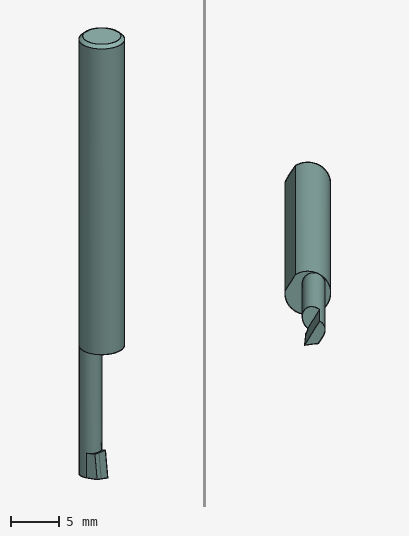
import cadquery as cq

total_length = 50.8
shank_diameter = 4.75
shank_radius = shank_diameter / 2
shank_bottom = 15.25
flat_y = 2.15
chamfer_width = 0.4
chamfer_height = 0.35

neck_radius = shank_radius / 2
neck_x = -neck_radius

relief_low_z = 3.8
relief_high_z = 4.65

head_height = 3.15
head_lean = 0.25
head_depth = neck_radius
head_left_x = -1.3
facet_start_x = -0.4
facet_middle_x = -0.1
facet_middle_y = -0.7
cutting_edge_x = 0.4

end_rise_y = 0.2
end_rise_x = 0.15

margin = 2.55


def make_shank():
    length = total_length - shank_bottom
    shank = cq.Workplane("XY").workplane(offset=shank_bottom).circle(shank_radius).extrude(length)
    shank = shank.faces(">Z").chamfer(chamfer_height, chamfer_width)
    flat_cutter = cq.Workplane("XY").box(
        2 * shank_diameter, margin, 2 * total_length + margin, centered=(True, False, True)
    ).translate((0, flat_y, 0))
    return shank.cut(flat_cutter)


def make_neck():
    neck = cq.Workplane("XY").center(neck_x, 0).circle(neck_radius).extrude(shank_bottom)
    relief_profile = [
        (0, -margin),
        (0, relief_low_z),
        (neck_radius, relief_high_z),
        (neck_radius + margin, relief_high_z),
        (neck_radius + margin, -margin),
    ]
    relief = cq.Workplane("YZ").polyline(relief_profile).close().extrude(shank_diameter, both=True)
    return neck.cut(relief)


def head_outline(lean):
    return [
        (head_left_x, 0),
        (head_left_x, -head_depth),
        (facet_start_x + lean, -head_depth),
        (facet_middle_x + lean, facet_middle_y),
        (cutting_edge_x + lean, 0),
    ]


def make_head():
    return (
        cq.Workplane("XY").polyline(head_outline(head_lean)).close()
        .workplane(offset=head_height).polyline(head_outline(0)).close()
        .loft(ruled=True)
    )


def make_end_cutter():
    tip_x = cutting_edge_x + head_lean
    slope_x = end_rise_x / (tip_x + shank_radius)
    slope_y = end_rise_y / head_depth
    end_plane = cq.Plane(origin=(tip_x, 0, 0), xDir=(1, 0, -slope_x), normal=(slope_x, slope_y, 1))
    return cq.Workplane(end_plane).rect(4 * shank_diameter, 4 * shank_diameter).extrude(-margin)


tip = make_neck().union(make_head()).cut(make_end_cutter())
result = make_shank().union(tip)